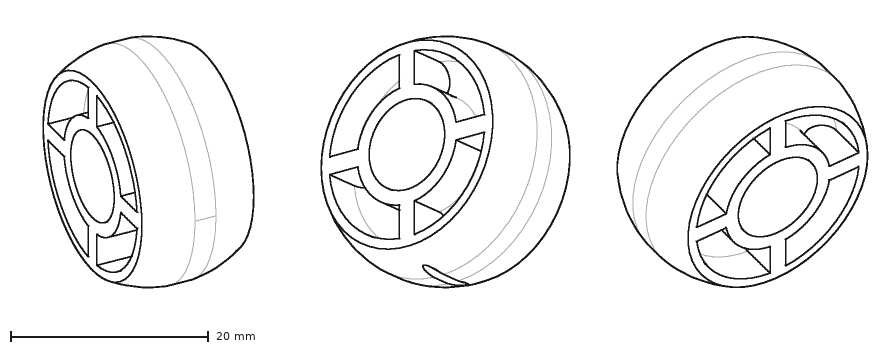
import cadquery as cq
import math

outer_radius = 12.65
width = 12.7
band_width = 2.38
face_radius = 11.0
bore_diameter = 9.68
hub_radius = 6.37
rim_inner_radius = 9.95
spoke_width = 1.92
pocket_depth = 5.81
notch_radius = 0.7
notch_depth = 0.45

half_width = width / 2
half_band = band_width / 2
front_face = -half_width

crown_drop = outer_radius - face_radius
crown_center_radius = (outer_radius + face_radius - (half_width**2 - half_band**2) / crown_drop) / 2
crown_radius = math.hypot(outer_radius - crown_center_radius, half_band)
crown_mid_y = (half_band + half_width) / 2
crown_mid_radius = crown_center_radius + math.sqrt(crown_radius**2 - crown_mid_y**2)


def revolve_about_axle(profile):
    """Turn a closed (radius, Y) profile fully around the Y axis."""
    return profile.close().revolve(360, (0, 0, 0), (0, 1, 0))


def cylinder_along_y(radius, center_z):
    """Cylinder spanning the full width of the wheel."""
    return cq.Workplane("XZ").center(0, center_z).circle(radius).extrude(half_width, both=True)


def wheel_body():
    """Solid tread with a flat central band and two crowned shoulders."""
    return revolve_about_axle(
        cq.Workplane("XY")
        .moveTo(0, front_face)
        .lineTo(face_radius, front_face)
        .threePointArc((crown_mid_radius, -crown_mid_y), (outer_radius, -half_band))
        .lineTo(outer_radius, half_band)
        .threePointArc((crown_mid_radius, crown_mid_y), (face_radius, half_width))
        .lineTo(0, half_width)
    )


def spoked_pockets():
    """Ring groove with a half-round floor, split into four by the spokes."""
    floor_radius = (rim_inner_radius - hub_radius) / 2
    floor_y = front_face + pocket_depth
    wall_end_y = floor_y - floor_radius
    ring = revolve_about_axle(
        cq.Workplane("XY")
        .moveTo(hub_radius, front_face)
        .lineTo(hub_radius, wall_end_y)
        .threePointArc((hub_radius + floor_radius, floor_y), (rim_inner_radius, wall_end_y))
        .lineTo(rim_inner_radius, front_face)
    )
    spoke_length = 2 * outer_radius
    for length_x, length_z in ((spoke_length, spoke_width), (spoke_width, spoke_length)):
        ring = ring.cut(cq.Workplane("XY").box(length_x, width, length_z))
    return ring


bore = cylinder_along_y(bore_diameter / 2, 0)
notch = cylinder_along_y(notch_radius, -(outer_radius - notch_depth + notch_radius))

front_pockets = spoked_pockets()
back_pockets = front_pockets.mirror("XZ")

result = wheel_body().cut(front_pockets).cut(back_pockets).cut(bore).cut(notch)